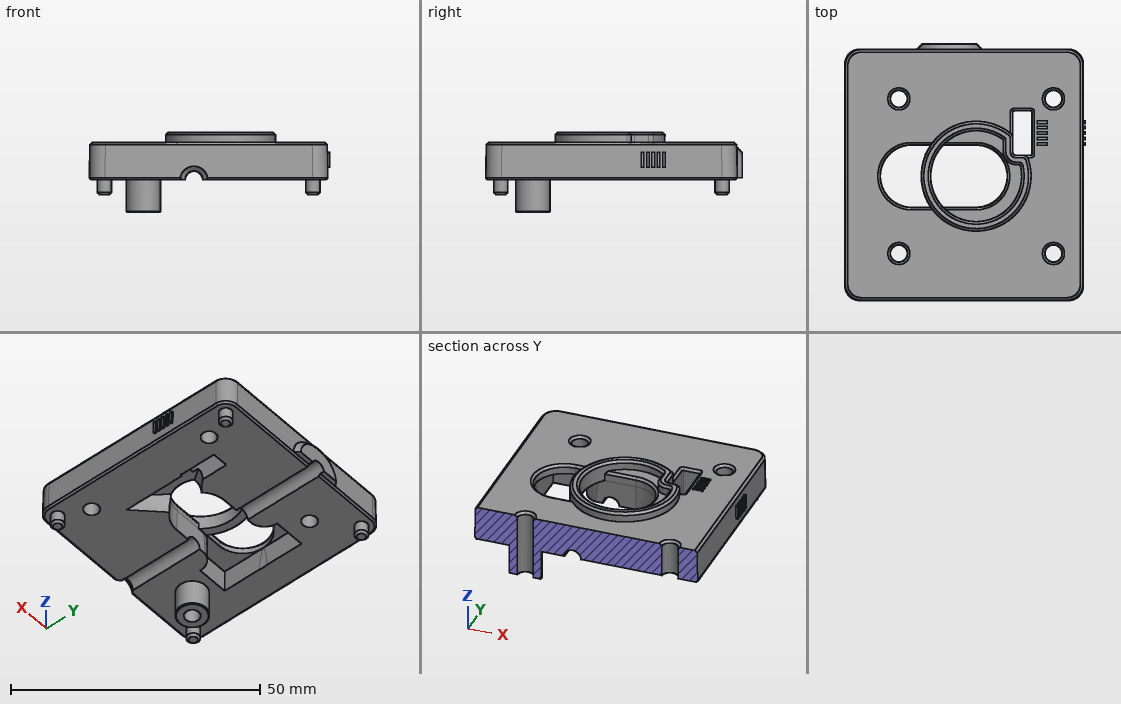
import cadquery as cq
import math


plate_x = 47.9
plate_y = 50.45
plate_z = 7.5
plate_center = (-2.4, 0.25)
draft_angle = 1.0
chamfer_angle = 45
corner_radius = 3.1
top_chamfer = 0.5
bottom_chamfer = 0.4
cover_thickness = 2.0

hole_pitch = 31.0
hole_radius = 1.7
hole_chamfer = 0.5

slot_length = 25.45
slot_half_width = 6.25
slot_center_x = -6.5
slot_chamfer = 0.5

pocket_right_x = -7.85
pocket_corner_radius = 3.9

window_x = 3.8
window_y = 8.85
window_center = (9.25, 8.65)
window_corner_radius = 0.2
window_chamfer = 0.5
ring_radius = 11.0
ring_wall = 1.9
ring_height = 2.0
ring_chamfer = 0.5
step_inner_radius = 0.6
step_outer_radius = 1.3
bore_corner_radius = 0.4

bar_count = 5
bar_pitch = 1.1
bar_width = 0.5
bar_length = 2.05
bar_depth = 0.3
bar_start_x = 12.2
side_bar_height = 2.95
side_bar_reach = 21.9
side_bar_root = 0.6

groove_x = -5.35
groove_radius = 1.75
mouth_radius = 2.8
lug_length = 1.05
lug_end_radius = 5.45
lug_root_length = 0.8

passage_radius = 4.2
passage_start_x = 4.75
passage_height = 3.9
passage_end_x = 10.8
passage_flare_angle = 45

pin_radius = 1.45
pin_length = 3.0
pin_chamfer = 0.5
pin_inset = 3.05
spacer_radius = 3.45
spacer_length = 6.5
spacer_chamfer = 0.2

front_y = plate_center[1] - plate_y / 2
back_y = plate_center[1] + plate_y / 2
right_x = plate_center[0] + plate_x / 2
cover_bottom = plate_z - cover_thickness
slot_left_x = slot_center_x - slot_length / 2
window_left = window_center[0] - window_x / 2
window_bottom = window_center[1] - window_y / 2


def block(x_range, y_range, z_range):
    """Box given by its limits along each axis."""
    sizes = [high - low for low, high in (x_range, y_range, z_range)]
    corner = (x_range[0], y_range[0], z_range[0])
    return cq.Workplane("XY").box(*sizes, centered=False).translate(corner)


def turned_along_y(*stations):
    """Body turned about the groove axis; each station is a place along Y and its radius."""
    profile = [(groove_x, stations[0][0])]
    profile += [(groove_x + radius, y) for y, radius in stations]
    profile += [(groove_x, stations[-1][0])]
    outline = cq.Workplane("XY").polyline(profile).close()
    return outline.revolve(360, (groove_x, 0), (groove_x, 1))


def flared_cutter(draw_outline, chamfer):
    """Cutter through the plate for the outline drawn on a workplane, flared at the top face."""
    shaft = draw_outline(cq.Workplane("XY", origin=(0, 0, -spacer_length)))
    shaft = shaft.extrude(plate_z + spacer_length)
    flare_plane = cq.Workplane("XY").workplane(offset=plate_z - chamfer)
    flare = draw_outline(flare_plane).extrude(chamfer, taper=-chamfer_angle)
    return shaft.union(flare)


def make_plate():
    plate = (
        cq.Workplane("XY")
        .center(*plate_center)
        .rect(plate_x, plate_y)
        .extrude(plate_z, taper=draft_angle)
    )
    plate = plate.edges("not(#Z)").fillet(corner_radius)
    plate = plate.faces(">Z").chamfer(top_chamfer)
    return plate.faces("<Z").chamfer(bottom_chamfer)


def stepped_disc(radius, step_x, step_y, inner_radius, corner_radius):
    """Disc with its +X +Y side cut back to a rounded step with its corner at step_x, step_y."""
    disc_height = cover_thickness + ring_height
    middle_z = cover_bottom + disc_height / 2
    disc = cq.Workplane("XY").workplane(offset=cover_bottom).circle(radius).extrude(disc_height)
    z_range = (cover_bottom, cover_bottom + disc_height)
    disc = disc.cut(block((step_x, step_x + 2 * radius), (step_y, step_y + 2 * radius), z_range))
    upper_y = math.sqrt(radius**2 - step_x**2)
    lower_x = math.sqrt(radius**2 - step_y**2)
    for x, y, fillet in (
        (step_x, step_y, inner_radius),
        (step_x, upper_y, corner_radius),
        (lower_x, step_y, corner_radius),
    ):
        disc = disc.edges(cq.NearestToPointSelector((x, y, middle_z))).fillet(fillet)
    return disc


def make_ring():
    outer = stepped_disc(ring_radius, window_left, window_bottom, step_inner_radius, step_outer_radius)
    bore = stepped_disc(
        ring_radius - ring_wall,
        window_left - ring_wall,
        window_bottom - ring_wall,
        step_inner_radius + ring_wall,
        bore_corner_radius,
    )
    return outer.cut(bore).faces(">Z").chamfer(ring_chamfer)


def bar_positions():
    first_y = window_center[1] - bar_pitch * (bar_count - 1) / 2
    return [first_y + i * bar_pitch for i in range(bar_count)]


def window_outline(plane):
    outline = cq.Sketch().rect(window_x, window_y).vertices().fillet(window_corner_radius)
    return plane.center(*window_center).placeSketch(outline)


def slot_outline(plane):
    return plane.center(slot_center_x, 0).slot2D(slot_length, 2 * slot_half_width)


def slot_relief():
    """Lower part of the slot, drafted outwards from the cover down to the underside."""
    plane = slot_outline(cq.Workplane("XY", origin=(0, 0, cover_bottom)))
    return plane.extrude(-cover_bottom, taper=-draft_angle)


def side_pocket():
    """Widening of the slot below the cover, joined to the slot sides by convex corners."""
    corner_y = slot_half_width + pocket_corner_radius
    x_range = (slot_left_x, pocket_right_x)
    pocket = block(x_range, (-corner_y, corner_y), (0, cover_bottom))
    corners = (
        cq.Workplane("XY")
        .pushPoints([(pocket_right_x, -corner_y), (pocket_right_x, corner_y)])
        .circle(pocket_corner_radius)
        .extrude(cover_bottom)
    )
    return pocket.cut(corners)


def flared_passage():
    """Passage from the +X end of the slot, opening out like a cone under a flat roof."""
    length = passage_end_x - passage_start_x
    cone = (
        cq.Workplane("YZ", origin=(passage_start_x, 0, 0))
        .circle(passage_radius)
        .extrude(length, taper=-passage_flare_angle)
    )
    y_range = (-plate_y / 2, plate_y / 2)
    return cone.intersect(block((passage_start_x, passage_end_x), y_range, (0, passage_height)))


def hole_outline(plane):
    return plane.rect(hole_pitch, hole_pitch, forConstruction=True).vertices().circle(hole_radius)


def cable_groove():
    """Groove through the plate and lug, with the conical mouth at the front."""
    return turned_along_y(
        (front_y, mouth_radius),
        (front_y + mouth_radius - groove_radius, groove_radius),
        (back_y + lug_length, groove_radius),
    )


def cable_lug():
    """Half cone on the back face, rooted inside the plate."""
    root_radius = lug_end_radius + lug_length
    lug_end_y = back_y + lug_length
    root_y = back_y - lug_root_length
    lug = turned_along_y((root_y, root_radius), (back_y, root_radius), (lug_end_y, lug_end_radius))
    x_range = (groove_x - root_radius, groove_x + root_radius)
    return lug.intersect(block(x_range, (root_y, lug_end_y), (bottom_chamfer, root_radius)))


def pins():
    """Locating pins under the four corners."""
    pitch_x = plate_x - 2 * pin_inset
    pitch_y = plate_y - 2 * pin_inset
    pin_set = (
        cq.Workplane("XY")
        .center(*plate_center)
        .rect(pitch_x, pitch_y, forConstruction=True)
        .vertices()
        .circle(pin_radius)
        .extrude(-pin_length)
    )
    return pin_set.faces("<Z").chamfer(pin_chamfer)


def spacer():
    """Round spacer under the front-left mounting hole."""
    return (
        cq.Workplane("XY")
        .center(-hole_pitch / 2, -hole_pitch / 2)
        .circle(spacer_radius)
        .extrude(-spacer_length)
        .faces("<Z")
        .chamfer(spacer_chamfer)
    )


result = make_plate().union(cable_lug()).union(pins()).union(spacer())
result = result.cut(cable_groove())
result = result.cut(flared_passage())
result = result.cut(flared_cutter(slot_outline, slot_chamfer))
result = result.cut(slot_relief())
result = result.cut(side_pocket())
result = result.cut(flared_cutter(window_outline, window_chamfer))
result = result.cut(flared_cutter(hole_outline, hole_chamfer))
result = result.union(make_ring())

for bar_y in bar_positions():
    bar_range = (bar_y - bar_width / 2, bar_y + bar_width / 2)
    top_range = (bar_start_x, bar_start_x + bar_length)
    side_range = (right_x - side_bar_root, side_bar_reach)
    result = result.cut(block(top_range, bar_range, (plate_z - bar_depth, plate_z)))
    side_heights = (cover_bottom - side_bar_height, cover_bottom)
    result = result.union(block(side_range, bar_range, side_heights))